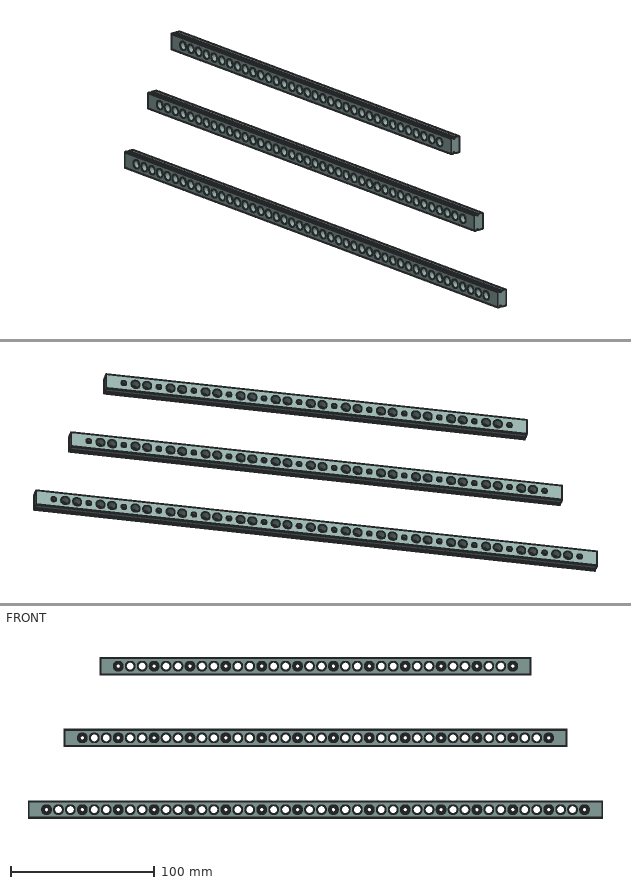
import cadquery as cq

RAIL_DEPTH = 8.0
RAIL_HEIGHT = 12.0
EDGE_CHAMFER = 0.5

GROOVE_WIDTH = 1.85
GROOVE_DEPTH = 1.0
GROOVE_Y = -1.1
GROOVE_WALL_BULGE = 0.1

RAIL_LENGTHS = (400.0, 350.0, 300.0)
RAIL_SPACING = 50.0

LONGEST_RAIL_SCREW_HOLES = 16
SCREW_HOLE_PITCH = RAIL_LENGTHS[0] / LONGEST_RAIL_SCREW_HOLES
HOLES_PER_SCREW = 3
HOLE_PITCH = SCREW_HOLE_PITCH / HOLES_PER_SCREW
END_MARGIN = SCREW_HOLE_PITCH / 2
SCREW_HOLE_DIAMETER = 3.5
WIDE_DIAMETER = 6.0
COUNTERBORE_DEPTH = 4.5
HOLE_CHAMFER = 0.2

FRONT_Y = -RAIL_DEPTH / 2


def plain_bar(length):
    """Rectangular bar along X with its four long edges chamfered."""
    return cq.Workplane("XY").box(length, RAIL_DEPTH, RAIL_HEIGHT).edges("|X").chamfer(EDGE_CHAMFER)


def ball_groove(length):
    """Cutter along X for the groove in the top face, with two walls curving down to a point."""
    top = RAIL_HEIGHT / 2
    front_lip = (GROOVE_Y - GROOVE_WIDTH / 2, top)
    groove_floor = (GROOVE_Y, top - GROOVE_DEPTH)
    back_lip = (GROOVE_Y + GROOVE_WIDTH / 2, top)
    return (
        cq.Workplane("YZ")
        .moveTo(*front_lip)
        .sagittaArc(groove_floor, -GROOVE_WALL_BULGE)
        .sagittaArc(back_lip, -GROOVE_WALL_BULGE)
        .close()
        .extrude(length / 2, both=True)
    )


def hole_positions(length):
    """X and Z positions of every hole in one rail, from left to right."""
    hole_span = length - 2 * END_MARGIN
    hole_count = round(hole_span / HOLE_PITCH) + 1
    return [(index * HOLE_PITCH - hole_span / 2, 0) for index in range(hole_count)]


def drilled(positions, diameter, depth):
    """Straight holes of the given depth, entering from the front face."""
    front_face = cq.Workplane("XZ", origin=(0, FRONT_Y, 0))
    return front_face.pushPoints(positions).circle(diameter / 2).extrude(-depth)


def mouth_chamfers(positions):
    """Cones that widen the front mouth of each hole."""
    mouth_radius = WIDE_DIAMETER / 2 + HOLE_CHAMFER
    towards_back = cq.Vector(0, 1, 0)
    cone = cq.Solid.makeCone(
        mouth_radius, WIDE_DIAMETER / 2, HOLE_CHAMFER, pnt=cq.Vector(), dir=towards_back
    )
    front_face = cq.Workplane("XY").pushPoints([(x, FRONT_Y) for x, _ in positions])
    return front_face.eachpoint(lambda place: cone.moved(place))


def make_rail(length):
    """One rail centred on the origin, with its counterbores open to the front (-Y)."""
    top_groove = ball_groove(length)
    bottom_groove = top_groove.mirror("XY")
    holes = hole_positions(length)
    screw_holes = holes[::HOLES_PER_SCREW]
    plain_holes = [place for place in holes if place not in screw_holes]
    return (
        plain_bar(length)
        .cut(top_groove)
        .cut(bottom_groove)
        .cut(drilled(screw_holes, SCREW_HOLE_DIAMETER, RAIL_DEPTH))
        .cut(drilled(screw_holes, WIDE_DIAMETER, COUNTERBORE_DEPTH))
        .cut(drilled(plain_holes, WIDE_DIAMETER, RAIL_DEPTH))
        .cut(mouth_chamfers(holes))
    )


rails = []
for level, rail_length in enumerate(RAIL_LENGTHS):
    height = (level - (len(RAIL_LENGTHS) - 1) / 2) * RAIL_SPACING
    rails.append(make_rail(rail_length).translate((0, 0, height)))

result = cq.Compound.makeCompound([rail.solids().val() for rail in rails])